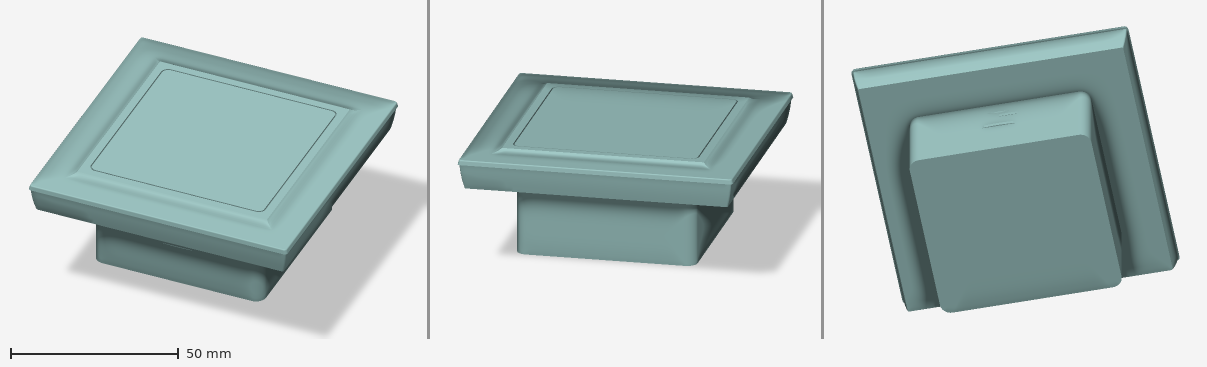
import cadquery as cq
import math

total_height = 34.1
panel_rise = 1.1
plate_top = -panel_rise
plate_bottom = -2.5
skirt_bottom = -10.35
box_bottom = -total_height

plate_size = 84.1
plate_lean = 0.3
plate_corner_radius = 1.0
plate_edge_fillet = 0.4

skirt_top_half = 41.55
skirt_bottom_half = 40.2
skirt_bulge = 0.21
skirt_corner_radius = 0.5

panel_foot_half = 33.6
panel_top_half = 30.9

button_half = 28.0
groove_width = 0.4
groove_depth = 0.4
button_corner_radius = 1.85

box_size = 55.1
box_corner_radius = 3.3
box_shift_y = 0.3
box_front_y = box_shift_y - box_size / 2

mark_rise = 0.3
pad_root = 0.8
arc_mark_width = 7.1
arc_mark_drop = 0.75
arc_mark_top = -14.6
arc_mark_taper = 35
pad_width = 5.7
pad_center_x = 2.95
pad_rise = 0.13
pad_end_rise = 0.04
pad_top = -16.0
pad_height = 1.1
bar_width = 9.75
bar_top = -21.0
bar_height = 1.1
bar_end_rise = 0.2
bar_end_slope = 0.4


def square_from_profile(profile):
    """Solid with the same X-Z profile on all four sides, mitred at the corners."""
    along_y = profile.extrude(plate_size, both=True)
    along_x = along_y.rotate((0, 0, 0), (0, 0, 1), 90)
    return along_y.intersect(along_x)


def rounded_square(size, corner_radius, bottom, height):
    block = cq.Workplane("XY").workplane(offset=bottom).rect(size, size).extrude(height)
    return block.edges("|Z").fillet(corner_radius)


def make_plate():
    low_half = plate_size / 2
    high_half = low_half - plate_lean
    profile = (
        cq.Workplane("XZ")
        .moveTo(-low_half, plate_bottom)
        .lineTo(low_half, plate_bottom)
        .lineTo(high_half, plate_top)
        .lineTo(-high_half, plate_top)
        .close()
    )
    plate = square_from_profile(profile)
    plate = plate.edges("not(#Z)").fillet(plate_corner_radius)
    return plate.faces(">Z").edges().fillet(plate_edge_fillet)


def make_skirt():
    middle_half = (skirt_top_half + skirt_bottom_half) / 2 + skirt_bulge
    middle_z = (plate_bottom + skirt_bottom) / 2
    profile = (
        cq.Workplane("XZ")
        .moveTo(-skirt_top_half, plate_bottom)
        .lineTo(skirt_top_half, plate_bottom)
        .threePointArc((middle_half, middle_z), (skirt_bottom_half, skirt_bottom))
        .lineTo(-skirt_bottom_half, skirt_bottom)
        .threePointArc((-middle_half, middle_z), (-skirt_top_half, plate_bottom))
        .close()
    )
    skirt = square_from_profile(profile)
    return skirt.edges("not(#Z)").fillet(skirt_corner_radius)


def make_panel():
    border_width = panel_foot_half - panel_top_half
    arc_radius = (border_width**2 + panel_rise**2) / (2 * panel_rise)
    arc_angle = math.asin(border_width / arc_radius) / 2
    middle_half = panel_foot_half - arc_radius * math.sin(arc_angle)
    middle_z = plate_top + arc_radius * (1 - math.cos(arc_angle))
    profile = (
        cq.Workplane("XZ")
        .moveTo(-panel_foot_half, plate_top)
        .threePointArc((-middle_half, middle_z), (-panel_top_half, 0))
        .lineTo(panel_top_half, 0)
        .threePointArc((middle_half, middle_z), (panel_foot_half, plate_top))
        .close()
    )
    return square_from_profile(profile)


def make_groove():
    outer_half = button_half + groove_width
    outer = rounded_square(2 * outer_half, button_corner_radius + groove_width, -groove_depth, groove_depth)
    button = rounded_square(2 * button_half, button_corner_radius, -groove_depth, groove_depth)
    return outer.cut(button)


def make_box():
    height = plate_bottom - box_bottom
    return rounded_square(box_size, box_corner_radius, box_bottom, height).translate((0, box_shift_y, 0))


def make_arc_mark():
    """Circular segment hanging from a straight top edge, narrowing away from the box."""
    return (
        cq.Workplane("XZ", origin=(0, box_front_y, arc_mark_top))
        .moveTo(-arc_mark_width / 2, 0)
        .threePointArc((0, -arc_mark_drop), (arc_mark_width / 2, 0))
        .close()
        .extrude(mark_rise, taper=arc_mark_taper)
    )


def make_bowed_pad(center_x, width, top, height, middle_rise, end_rise, end_slope=0):
    """Pad whose front bows outward between its ends, which slope inward by end_slope."""
    half = width / 2
    front_half = half - end_slope
    return (
        cq.Workplane("XY", origin=(center_x, box_front_y, top - height))
        .moveTo(-half, pad_root)
        .lineTo(-half, 0)
        .lineTo(-front_half, -end_rise)
        .threePointArc((0, -middle_rise), (front_half, -end_rise))
        .lineTo(half, 0)
        .lineTo(half, pad_root)
        .close()
        .extrude(height)
    )


result = (
    make_plate()
    .union(make_skirt())
    .union(make_panel())
    .cut(make_groove())
    .union(make_box())
    .union(make_arc_mark())
    .union(make_bowed_pad(pad_center_x, pad_width, pad_top, pad_height, pad_rise, pad_end_rise))
    .union(make_bowed_pad(0, bar_width, bar_top, bar_height, mark_rise, bar_end_rise, bar_end_slope))
)